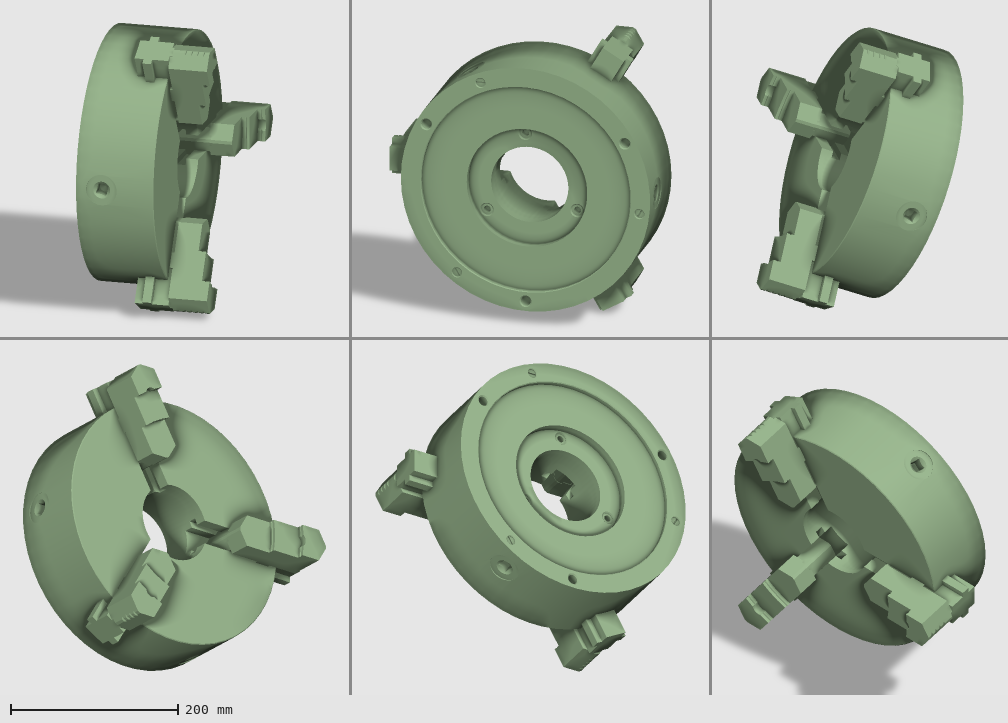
import cadquery as cq
import math

JAW_SPACING = 120.0
JAW_ANGLES = [0.0, JAW_SPACING, 2 * JAW_SPACING]

BODY_DIAMETER = 310.0
BODY_LENGTH = 96.0
BODY_RADIUS = BODY_DIAMETER / 2
FRONT_CHAMFER = 1.0
BORE_DIAMETER = 96.0
REGISTER_DIAMETER = 262.0
REGISTER_DEPTH = 7.0
REGISTER_CHAMFER = 1.0
POCKET_DIAMETER = 150.0
POCKET_FLOOR = 19.0

RIM_CIRCLE_RADIUS = 142.5
MOUNT_START_ANGLE = 30.0
MOUNT_CHAMFER_DIAMETER = 15.0
MOUNT_THREAD_DIAMETER = 12.0
MOUNT_THREAD_DEPTH = 24.0
MOUNT_DRILL_DIAMETER = 10.2
MOUNT_DRILL_DEPTH = 30.0
DRILL_POINT_ANGLE = 118.0

COVER_START_ANGLE = 66.8
COVER_CHAMFER_DIAMETER = 13.0
COVER_HOLE_DIAMETER = 11.0
COVER_HOLE_DEPTH = 2.0
SCREW_SLOT_WIDTH = 2.0
SCREW_SLOT_DEPTH = 2.0
SCREW_SLOT_TURN = -COVER_START_ANGLE

SOCKET_CIRCLE_RADIUS = 65.0
SOCKET_START_ANGLE = 85.0
SOCKET_CHAMFER_DIAMETER = 17.0
SOCKET_HOLE_DIAMETER = 14.0
SOCKET_HEAD_SINK = 2.0
SOCKET_BORE_DIAMETER = 8.5
SOCKET_BORE_DEPTH = 8.0

PINION_START_ANGLE = JAW_SPACING / 2
PINION_X = 31.5
PINION_DIAMETER = 38.0
PINION_FACE_RADIUS = 153.6
KEY_CHAMFER_DIAMETER = 21.0
KEY_SQUARE = 13.0
KEY_SQUARE_TURN = -13.0
KEY_DEPTH = 16.0

MASTER_WIDTH = 30.0
MASTER_BOTTOM = 59.0
MASTER_TOP = 101.0
MASTER_OUTER_RADIUS = 185.5
MASTER_NOSE_RADIUS = 74.0
TONGUE_WIDTH = 44.7
TONGUE_BOTTOM = 70.3
TONGUE_TOP = 81.0
SLOT_FLOOR_CLEARANCE = 1.0
LONG_KEY_WIDTH = 13.2
LONG_KEY_TOP = 104.0

TOP_JAW_WIDTH = 40.0
TOP_JAW_FRONT = 149.0
TOP_JAW_NOSE_RADIUS = 73.0
TOP_JAW_TAIL_RADIUS = 187.75
NOSE_FLAT = 4.0
NOSE_SLOPE = 30.0
CROSS_KEY_BOTTOM = 97.6
CROSS_KEY_INNER_RADIUS = 121.0
CROSS_KEY_WIDTH = 19.0
STEPS = [(130.3, 118.4), (139.6, 154.2)]
STEP_GROOVE_WIDTH = 2.0
STEP_GROOVE_DEPTH = 1.0
STEP_GROOVE_OFFSET = 4.6
BOLT_HEAD_DIAMETER = 18.0
BOLT_RADIUS = 148.4
MARK_COUNT = 4
MARK_PITCH = 7.5
MARK_FIRST_X = 119.2
MARK_WIDTH = 3.0
MARK_DEPTH = 1.5


def disc(diameter, x_start, x_end, radius=0.0):
    """Cylinder parallel to X, its axis at the given distance from the chuck axis along +Y."""
    blank = cq.Workplane("YZ", origin=(x_start, 0, 0)).center(radius, 0)
    return blank.circle(diameter / 2).extrude(x_end - x_start)


def cone(diameter_start, diameter_end, x_start, x_end, radius=0.0):
    """Cone parallel to X, its axis at the given distance from the chuck axis along +Y."""
    solid = cq.Solid.makeCone(
        diameter_start / 2, diameter_end / 2, x_end - x_start,
        pnt=cq.Vector(x_start, radius, 0), dir=cq.Vector(1, 0, 0),
    )
    return cq.Workplane(solid)


def bar(x_start, x_end, r_start, r_end, width):
    """Block spanning X and the +Y radial direction, centred across Z."""
    size = (x_end - x_start, r_end - r_start, width)
    return cq.Workplane().box(*size, centered=(False, False, True)).translate((x_start, r_start, 0))


def turned(shape, angle):
    return shape.rotate((0, 0, 0), (1, 0, 0), angle)


def drill_point(diameter):
    """Length of the conical end that a drill of this diameter leaves."""
    return diameter / 2 / math.tan(math.radians(DRILL_POINT_ANGLE / 2))


def chamfered_hole(chamfer_diameter, diameter, x_start, x_end, radius=0.0):
    """Flat-bottomed hole with a 45 degree chamfer at its mouth."""
    chamfer_end = x_start + (chamfer_diameter - diameter) / 2
    chamfer = cone(chamfer_diameter, diameter, x_start, chamfer_end, radius)
    return disc(diameter, x_start, x_end, radius).union(chamfer)


def drilled_hole(diameter, x_start, x_end, radius):
    """Blind hole with a conical end beyond its full-diameter depth."""
    tip = x_end + drill_point(diameter)
    return disc(diameter, x_start, x_end, radius).union(cone(diameter, 0, x_end, tip, radius))


def three_around(shape, start_angle):
    """The shape repeated at the three jaw spacings, as one workplane."""
    pattern = turned(shape, start_angle)
    for angle in JAW_ANGLES[1:]:
        pattern = pattern.add(turned(shape, start_angle + angle))
    return pattern.combine()


def make_body():
    body = disc(BODY_DIAMETER, 0, BODY_LENGTH).faces(">X").edges().chamfer(FRONT_CHAMFER)
    body = body.cut(disc(BORE_DIAMETER, 0, BODY_LENGTH))
    register_wall = REGISTER_DIAMETER - 2 * REGISTER_CHAMFER
    body = body.cut(chamfered_hole(REGISTER_DIAMETER, register_wall, 0, REGISTER_DEPTH))
    return body.cut(disc(POCKET_DIAMETER, 0, POCKET_FLOOR))


def mount_hole():
    r = RIM_CIRCLE_RADIUS
    hole = chamfered_hole(MOUNT_CHAMFER_DIAMETER, MOUNT_THREAD_DIAMETER, 0, MOUNT_THREAD_DEPTH, r)
    return hole.union(drilled_hole(MOUNT_DRILL_DIAMETER, 0, MOUNT_DRILL_DEPTH, r))


def cover_screw_recess():
    r = RIM_CIRCLE_RADIUS
    half = COVER_HOLE_DIAMETER / 2
    slot_floor = COVER_HOLE_DEPTH + SCREW_SLOT_DEPTH
    slot = bar(0, slot_floor, r - half, r + half, SCREW_SLOT_WIDTH)
    slot = slot.rotate((0, r, 0), (1, r, 0), SCREW_SLOT_TURN)
    slot = slot.intersect(disc(COVER_HOLE_DIAMETER, 0, slot_floor, r))
    return chamfered_hole(COVER_CHAMFER_DIAMETER, COVER_HOLE_DIAMETER, 0, COVER_HOLE_DEPTH, r).union(slot)


def socket_screw_recess():
    """Shallow chamfered recess down to the screw head, with the key socket bored below it."""
    r = SOCKET_CIRCLE_RADIUS
    head_face = POCKET_FLOOR + SOCKET_HEAD_SINK
    recess = chamfered_hole(SOCKET_CHAMFER_DIAMETER, SOCKET_HOLE_DIAMETER, POCKET_FLOOR, head_face, r)
    return recess.union(drilled_hole(SOCKET_BORE_DIAMETER, head_face, head_face + SOCKET_BORE_DEPTH, r))


def pinion_recess():
    """Flat pinion face with a chamfered square key socket, pointing along +Y."""
    outward = cq.Plane(origin=(PINION_X, PINION_FACE_RADIUS, 0), xDir=(1, 0, 0), normal=(0, 1, 0))
    face = cq.Workplane(outward).circle(PINION_DIAMETER / 2).extrude(BODY_RADIUS - PINION_FACE_RADIUS)
    socket = cq.Workplane(outward).transformed(rotate=(0, 0, KEY_SQUARE_TURN))
    socket = socket.rect(KEY_SQUARE, KEY_SQUARE).extrude(-KEY_DEPTH)
    inward = cq.Vector(0, -1, 0)
    centre = cq.Vector(PINION_X, PINION_FACE_RADIUS, 0)
    chamfer_depth = (KEY_CHAMFER_DIAMETER - KEY_SQUARE) / 2
    chamfer = cq.Solid.makeCone(KEY_CHAMFER_DIAMETER / 2, KEY_SQUARE / 2, chamfer_depth, centre, inward)
    socket_end = centre + inward * KEY_DEPTH
    point = cq.Solid.makeCone(KEY_SQUARE / 2, 0, drill_point(KEY_SQUARE), socket_end, inward)
    return face.union(socket).union(cq.Workplane(chamfer)).union(cq.Workplane(point))


def jaw_slot():
    """T-shaped slot open to the bore, the front face and the rim."""
    slot = bar(MASTER_BOTTOM - SLOT_FLOOR_CLEARANCE, BODY_LENGTH, 0, BODY_RADIUS, MASTER_WIDTH)
    return slot.union(bar(TONGUE_BOTTOM, TONGUE_TOP, 0, BODY_RADIUS, TONGUE_WIDTH))


def nose_drop(width):
    """Radial setback of a jaw's sides behind the flat of its V-shaped end."""
    return (width - NOSE_FLAT) / 2 * math.tan(math.radians(NOSE_SLOPE))


def pointed_bar(x_start, x_end, width, nose_radius, tail_radius, pointed_tail):
    """Bar along +Y with a V-shaped inner end and a plain or V-shaped outer end."""
    side = width / 2
    flat = NOSE_FLAT / 2
    drop = nose_drop(width)
    points = [(nose_radius, -flat), (nose_radius + drop, -side)]
    if pointed_tail:
        points += [(tail_radius - drop, -side), (tail_radius, -flat)]
    else:
        points += [(tail_radius, -side)]
    mirrored = [(r, -z) for r, z in reversed(points)]
    outline = cq.Workplane("YZ", origin=(x_start, 0, 0)).polyline(points + mirrored).close()
    return outline.extrude(x_end - x_start)


def master_part(x_start, x_end, width):
    return pointed_bar(x_start, x_end, width, MASTER_NOSE_RADIUS, MASTER_OUTER_RADIUS, False)


def master_jaw():
    jaw = master_part(MASTER_BOTTOM, MASTER_TOP, MASTER_WIDTH)
    jaw = jaw.union(master_part(TONGUE_BOTTOM, TONGUE_TOP, TONGUE_WIDTH))
    return jaw.union(master_part(MASTER_TOP, LONG_KEY_TOP, LONG_KEY_WIDTH))


def end_marks():
    """V-grooves across the flat of the outer end."""
    half = MARK_WIDTH / 2
    marks = cq.Workplane("XY")
    for index in range(MARK_COUNT):
        x = MARK_FIRST_X + index * MARK_PITCH
        corners = [(x - half, TOP_JAW_TAIL_RADIUS), (x + half, TOP_JAW_TAIL_RADIUS)]
        corners.append((x, TOP_JAW_TAIL_RADIUS - MARK_DEPTH))
        marks = marks.polyline(corners).close()
    return marks.extrude(TOP_JAW_WIDTH / 2, both=True)


def step_groove(x, wall_radius):
    """Ring about the chuck axis that cuts a V-groove into a curved step wall."""
    half = STEP_GROOVE_WIDTH / 2
    corners = [(x - half, 0), (x - half, wall_radius), (x, wall_radius + STEP_GROOVE_DEPTH)]
    corners += [(x + half, wall_radius), (x + half, 0)]
    return cq.Workplane("XY").polyline(corners).close().revolve(360, (0, 0, 0), (1, 0, 0))


def top_jaw():
    jaw = pointed_bar(
        MASTER_TOP, TOP_JAW_FRONT, TOP_JAW_WIDTH, TOP_JAW_NOSE_RADIUS, TOP_JAW_TAIL_RADIUS, True
    )
    for floor, wall_radius in STEPS:
        jaw = jaw.cut(disc(2 * wall_radius, floor, TOP_JAW_FRONT))
        jaw = jaw.cut(step_groove(floor + STEP_GROOVE_OFFSET, wall_radius))
    upper_floor = STEPS[-1][0]
    jaw = jaw.cut(disc(BOLT_HEAD_DIAMETER, upper_floor, TOP_JAW_FRONT, BOLT_RADIUS))
    jaw = jaw.cut(end_marks())
    jaw = jaw.cut(bar(MASTER_TOP, LONG_KEY_TOP, 0, TOP_JAW_TAIL_RADIUS, LONG_KEY_WIDTH))
    key_inner = CROSS_KEY_INNER_RADIUS
    key_outer = key_inner + CROSS_KEY_WIDTH
    return jaw.union(bar(CROSS_KEY_BOTTOM, MASTER_TOP, key_inner, key_outer, TOP_JAW_WIDTH))


def make_chuck():
    chuck = make_body()
    chuck = chuck.cut(three_around(jaw_slot(), 0))
    chuck = chuck.cut(three_around(mount_hole(), MOUNT_START_ANGLE))
    chuck = chuck.cut(three_around(cover_screw_recess(), COVER_START_ANGLE))
    chuck = chuck.cut(three_around(socket_screw_recess(), SOCKET_START_ANGLE))
    chuck = chuck.cut(three_around(pinion_recess(), PINION_START_ANGLE))
    return chuck.union(three_around(master_jaw().union(top_jaw()), 0))


result = make_chuck()